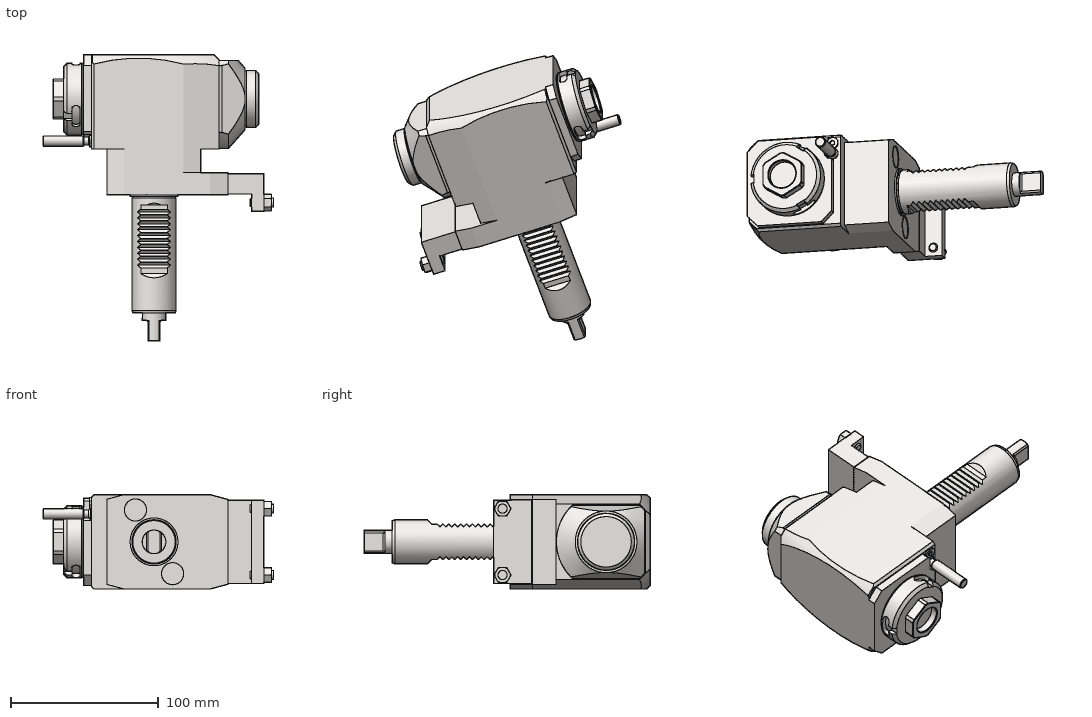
import math

import cadquery as cq


HALF_HEIGHT = 32.0
TAPER_ANGLE = 15.0
TAPER_SLOPE = math.tan(math.radians(TAPER_ANGLE))
HEAD_BLOCK_LEFT = -42.5
HEAD_BLOCK_RIGHT = 44.1
HEAD_BLOCK_FRONT = 31.0
HEAD_BLOCK_BACK = HEAD_BLOCK_FRONT + 2 * HALF_HEIGHT
BLOCK_EDGE_CHAMFER = 1.8
BACK_CORNER_CHAMFER = 3.3
NECK_LEFT = -32.0
NECK_RIGHT = 31.7
LEFT_TAPER_START = -20.2
RIGHT_TAPER_START = 20.0
ARM_THICKNESS = 15.1
ARM_RIGHT = 50.0
ARM_TAPER_START = 38.2
SPINDLE_Y = 65.0
BARREL_X = -10.4
BARREL_RADIUS = 42.3
BARREL_ARC_RADIUS = 185.0
BARREL_END_CHAMFER = 0.7
PLUG_RADIUS = 7.5
PLUG_RECESS = 0.5
PLUG_CENTRES = [(-12.6, 21.6), (12.6, -21.6)]

BRACKET_HALF_HEIGHT = 28.3
BRACKET_FRONT = 0.5
BRACKET_BACK = 14.4
BRACKET_RIGHT = 74.5
LUG_LEFT = 66.2
LUG_FRONT = -11.2
SCREW_Y = -5.2
SCREW_Z = 22.5
SCREW_RADIUS = 3.1
SCREW_POINT_RADIUS = 2.4
SCREW_LEFT = 65.1
SCREW_RIGHT = 81.05
BOLT_NUT_FLATS = 10.0
BOLT_NUT_RIGHT = 79.7
BOLT_NUT_CHAMFER = 0.5

REAR_RADIUS = 33.7
REAR_CONE_START = 50.4
REAR_CONE_END = 61.7
REAR_CONE_END_RADIUS = 20.9
REAR_BACK_Y = 91.1
REAR_GAP_RIGHT = 46.0
REAR_GAP_DEPTH = 0.3
CAP_NECK_RADIUS = 19.0
CAP_START = 62.7
CAP_RADIUS = 19.4
CAP_RIGHT = 71.1
CAP_CHAMFER = 2.3

COVER_LEFT = -47.8
COVER_HALF = 29.6
COVER_CORNER = 7.2
NUT_LEFT = -61.2
NUT_RIGHT = -48.3
NUT_RADIUS = 24.5
NUT_CHAMFER = 2.2
NUT_NECK_RADIUS = 23.6
NUT_BACK_CHAMFER = 0.7
NOTCH_WIDTH = 5.6
NOTCH_FLOOR_RADIUS = 21.6
NOTCH_OVERLAP = 0.5
NOTCH_ANGLES = [0, 120, 240]
POCKET_X = -52.9
POCKET_WIDTH = 5.5
POCKET_LENGTH = 16.6
HEX_LEFT = -68.4
HEX_FLATS = 27.2
HEX_CORNER_RADIUS = 15.0
HEX_CHAMFER = 0.4
BORE_RADIUS = 9.5
BORE_DEPTH = 5.0
BORE_CHAMFER = 0.5

PIN_Y = 36.4
PIN_Z = 18.9
PIN_LEFT = -75.33
PIN_RIGHT = -47.6
PIN_RADIUS = 3.55
PIN_CHAMFER = 0.5
PIN_NECK_RADIUS = 2.7
PIN_NECK_RIGHT = -44.4
PIN_FOOT_LEFT = -43.0
PIN_FOOT_RADIUS = 3.8
PIN_RELIEF_RADIUS = 4.6
CLAMP_Z = 26.2
CLAMP_RADIUS = 3.9
CLAMP_HEIGHT = 1.2
CLAMP_SOCKET_FLATS = 3.0

COLLAR_RADIUS = 16.2
COLLAR_LENGTH = 1.1
SHANK_RADIUS = 15.0
SHANK_LENGTH = 80.0
SHANK_RELIEF_RADIUS = 14.7
SHANK_RELIEF_LENGTH = 2.2
SHANK_END_RADIUS = 14.4
SHANK_END_TAPER = 1.8
FLAT_HEIGHT = 12.0
FLAT_START = 6.9
FLAT_END = 53.2
FLAT_LIP_HEIGHT = 14.3
FLAT_LIP_START = 5.6
FLAT_RAMP_ANGLE = 45.0
GROOVE_COUNT = 10
GROOVE_PITCH = 4.0
GROOVE_FIRST = 11.6
GROOVE_DEPTH = 1.85

TANG_RADIUS = 8.0
TANG_SHOULDER = 85.0
TANG_END = 99.0
TANG_HALF_THICKNESS = 4.1
TANG_ROOT_HALF_THICKNESS = 5.0
TANG_ROOT_LENGTH = 1.2
TANG_FLAT_HALF_WIDTH = 6.05
TANG_EDGE_HALF_THICKNESS = 3.27
TANG_EDGE_HALF_WIDTH = 7.3


def rod(x_start, x_end, y, z, radius):
    """Cylinder along X."""
    return cq.Workplane("YZ", origin=(x_start, y, z)).circle(radius).extrude(x_end - x_start)


def block(x_start, x_end, y_start, y_end, z_start, z_end):
    """Box between two opposite corners."""
    size = (x_end - x_start, y_end - y_start, z_end - z_start)
    return cq.Workplane("XY", origin=(x_start, y_start, z_start)).box(*size, centered=False)


def prism_along_y(points, y_start, y_end):
    """Solid with an (X, Z) outline, running from y_start to y_end."""
    return cq.Workplane("XZ", origin=(0, y_start, 0)).polyline(points).close().extrude(y_start - y_end)


def turned_along_x(points, y, z=0.0):
    """Solid of revolution about an X-parallel axis from (x, radius) points."""
    return (
        cq.Workplane("XY", origin=(0, y, z))
        .polyline(points)
        .close()
        .revolve(360, (0, 0), (1, 0))
    )


def hex_points(flats, turn=0.0):
    """Corners of a hexagon; turn is the angle of the first corner in degrees."""
    corner = flats / math.sqrt(3)
    angles = [math.radians(turn + 60 * i) for i in range(6)]
    return [(corner * math.cos(a), corner * math.sin(a)) for a in angles]


def tapered_height(x, taper_start):
    """Half height at x of a wall that falls at the taper angle beyond taper_start."""
    return HALF_HEIGHT - abs(x - taper_start) * TAPER_SLOPE


def housing_slab(left, left_start, left_height, right, right_start, y_start, y_end):
    """Slab symmetric about Z = 0 with sloped left and right ends."""
    right_height = tapered_height(right, right_start)
    upper = [
        (left, left_height),
        (left_start, HALF_HEIGHT),
        (right_start, HALF_HEIGHT),
        (right, right_height),
    ]
    lower = [(x, -z) for x, z in reversed(upper)]
    return prism_along_y(upper + lower, y_start, y_end)


def barrel_radius(x):
    """Radius of the barrel at x, following one large arc."""
    rise = math.sqrt(BARREL_ARC_RADIUS**2 - (x - BARREL_X) ** 2)
    return BARREL_RADIUS - BARREL_ARC_RADIUS + rise


def barrel():
    """Barrel about the spindle axis that trims the back edges of the head block."""
    arc_left = HEAD_BLOCK_LEFT + BARREL_END_CHAMFER
    left_radius = barrel_radius(arc_left)
    return (
        cq.Workplane("XY", origin=(0, SPINDLE_Y, 0))
        .moveTo(HEAD_BLOCK_LEFT, 0)
        .lineTo(HEAD_BLOCK_LEFT, left_radius - BARREL_END_CHAMFER)
        .lineTo(arc_left, left_radius)
        .threePointArc((BARREL_X, BARREL_RADIUS), (HEAD_BLOCK_RIGHT, barrel_radius(HEAD_BLOCK_RIGHT)))
        .lineTo(HEAD_BLOCK_RIGHT, 0)
        .close()
        .revolve(360, (0, 0), (1, 0))
    )


def head_block():
    slab = housing_slab(
        HEAD_BLOCK_LEFT,
        HEAD_BLOCK_LEFT + BLOCK_EDGE_CHAMFER,
        HALF_HEIGHT - BLOCK_EDGE_CHAMFER,
        HEAD_BLOCK_RIGHT,
        RIGHT_TAPER_START,
        HEAD_BLOCK_FRONT,
        HEAD_BLOCK_BACK,
    )
    slab = slab.edges("|Z and >X and >Y").chamfer(BACK_CORNER_CHAMFER)
    back_half = block(
        HEAD_BLOCK_LEFT, HEAD_BLOCK_RIGHT, SPINDLE_Y, HEAD_BLOCK_BACK, -HALF_HEIGHT, HALF_HEIGHT
    )
    return slab.cut(back_half.cut(barrel()))


def neck_and_arm():
    left_height = tapered_height(NECK_LEFT, LEFT_TAPER_START)
    neck = housing_slab(
        NECK_LEFT,
        LEFT_TAPER_START,
        left_height,
        NECK_RIGHT,
        RIGHT_TAPER_START,
        ARM_THICKNESS,
        HEAD_BLOCK_FRONT,
    )
    arm = housing_slab(
        NECK_LEFT, LEFT_TAPER_START, left_height, ARM_RIGHT, ARM_TAPER_START, 0, ARM_THICKNESS
    )
    plugs = cq.Workplane("XZ").pushPoints(PLUG_CENTRES).circle(PLUG_RADIUS).extrude(-PLUG_RECESS)
    return neck.union(arm).cut(plugs)


def bracket():
    height = BRACKET_HALF_HEIGHT
    body = block(ARM_RIGHT, BRACKET_RIGHT, BRACKET_FRONT, BRACKET_BACK, -height, height)
    lug = block(LUG_LEFT, BRACKET_RIGHT, LUG_FRONT, BRACKET_BACK, -height, height)
    body = body.union(lug)
    for z in (-SCREW_Z, SCREW_Z):
        body = body.union(clamp_bolt(z))
    return body


def clamp_bolt(z):
    """Screw through the lug with a hexagon nut on its right side."""
    screw = turned_along_x(
        [
            (SCREW_LEFT, 0),
            (SCREW_LEFT, SCREW_POINT_RADIUS),
            (LUG_LEFT, SCREW_RADIUS),
            (SCREW_RIGHT, SCREW_RADIUS),
            (SCREW_RIGHT, 0),
        ],
        SCREW_Y,
        z,
    )
    nut = (
        cq.Workplane("YZ", origin=(BRACKET_RIGHT, SCREW_Y, z))
        .polyline(hex_points(BOLT_NUT_FLATS))
        .close()
        .extrude(BOLT_NUT_RIGHT - BRACKET_RIGHT)
    )
    corner = BOLT_NUT_FLATS / math.sqrt(3)
    envelope = rod(BRACKET_RIGHT, BOLT_NUT_RIGHT, SCREW_Y, z, corner)
    envelope = envelope.faces(">X").chamfer(BOLT_NUT_CHAMFER)
    return screw.union(nut.intersect(envelope))


def spindle_rear():
    """Conical rear end with sloped flats, and the round cap behind it."""
    cone = turned_along_x(
        [
            (HEAD_BLOCK_RIGHT, 0),
            (HEAD_BLOCK_RIGHT, REAR_RADIUS),
            (REAR_CONE_START, REAR_RADIUS),
            (REAR_CONE_END, REAR_CONE_END_RADIUS),
            (REAR_CONE_END, 0),
        ],
        SPINDLE_Y,
    )
    flats = housing_slab(
        NECK_LEFT,
        LEFT_TAPER_START,
        tapered_height(NECK_LEFT, LEFT_TAPER_START),
        REAR_CONE_END,
        RIGHT_TAPER_START,
        SPINDLE_Y - REAR_RADIUS,
        REAR_BACK_Y,
    )
    cone = cone.intersect(flats)
    inner = flats.translate((-REAR_GAP_DEPTH / TAPER_SLOPE, 0, 0))
    gap = block(
        HEAD_BLOCK_RIGHT,
        REAR_GAP_RIGHT,
        SPINDLE_Y - REAR_RADIUS,
        REAR_BACK_Y,
        -HALF_HEIGHT,
        HALF_HEIGHT,
    ).cut(inner)
    cap = turned_along_x(
        [
            (REAR_CONE_END, 0),
            (REAR_CONE_END, CAP_NECK_RADIUS),
            (CAP_START, CAP_NECK_RADIUS),
            (CAP_START, CAP_RADIUS),
            (CAP_RIGHT - CAP_CHAMFER, CAP_RADIUS),
            (CAP_RIGHT, CAP_RADIUS - CAP_CHAMFER),
            (CAP_RIGHT, 0),
        ],
        SPINDLE_Y,
    )
    return cone.cut(gap).union(cap)


def cover_plate():
    """Square cover with bevelled corners and a relief around the pin."""
    plate = block(
        COVER_LEFT,
        HEAD_BLOCK_LEFT,
        HEAD_BLOCK_BACK - 2 * COVER_HALF,
        HEAD_BLOCK_BACK,
        -COVER_HALF,
        COVER_HALF,
    )
    plate = plate.edges("|X").chamfer(COVER_CORNER)
    relief = rod(COVER_LEFT, HEAD_BLOCK_LEFT, PIN_Y, PIN_Z, PIN_RELIEF_RADIUS)
    slot = block(
        COVER_LEFT,
        HEAD_BLOCK_LEFT,
        PIN_Y - PIN_RELIEF_RADIUS,
        PIN_Y + PIN_RELIEF_RADIUS,
        PIN_Z,
        HALF_HEIGHT,
    )
    return plate.cut(relief).cut(slot)


def clamping_nut():
    """Round nut with three axial notches, each opening into a slot around the rim."""
    nut = turned_along_x(
        [
            (NUT_LEFT, 0),
            (NUT_LEFT, NUT_RADIUS - NUT_CHAMFER),
            (NUT_LEFT + NUT_CHAMFER, NUT_RADIUS),
            (NUT_RIGHT - NUT_BACK_CHAMFER, NUT_RADIUS),
            (NUT_RIGHT, NUT_RADIUS - NUT_BACK_CHAMFER),
            (NUT_RIGHT, NUT_NECK_RADIUS),
            (COVER_LEFT, NUT_NECK_RADIUS),
            (COVER_LEFT, 0),
        ],
        SPINDLE_Y,
    )
    notch = block(
        NUT_LEFT,
        POCKET_X - POCKET_WIDTH / 2 + NOTCH_OVERLAP,
        SPINDLE_Y + NOTCH_FLOOR_RADIUS,
        SPINDLE_Y + NUT_RADIUS,
        -NOTCH_WIDTH / 2,
        NOTCH_WIDTH / 2,
    )
    pocket = (
        cq.Workplane("XZ", origin=(POCKET_X, SPINDLE_Y, 0))
        .slot2D(POCKET_LENGTH, POCKET_WIDTH, 90)
        .extrude(-NUT_RADIUS)
        .cut(rod(NUT_LEFT, NUT_RIGHT, SPINDLE_Y, 0, NOTCH_FLOOR_RADIUS))
    )
    cutter = notch.union(pocket)
    for angle in NOTCH_ANGLES:
        nut = nut.cut(cutter.rotate((0, SPINDLE_Y, 0), (1, SPINDLE_Y, 0), angle))
    return nut


def hex_nose():
    nose = (
        cq.Workplane("YZ", origin=(HEX_LEFT, SPINDLE_Y, 0))
        .polyline(hex_points(HEX_FLATS, 90))
        .close()
        .extrude(NUT_LEFT - HEX_LEFT)
    )
    nose = nose.intersect(rod(HEX_LEFT, NUT_LEFT, SPINDLE_Y, 0, HEX_CORNER_RADIUS))
    return nose.faces("<X").chamfer(HEX_CHAMFER)


def nose_bore():
    return turned_along_x(
        [
            (HEX_LEFT, 0),
            (HEX_LEFT, BORE_RADIUS + BORE_CHAMFER),
            (HEX_LEFT + BORE_CHAMFER, BORE_RADIUS),
            (HEX_LEFT + BORE_DEPTH, BORE_RADIUS),
            (HEX_LEFT + BORE_DEPTH, 0),
        ],
        SPINDLE_Y,
    )


def locating_pin():
    return turned_along_x(
        [
            (PIN_LEFT, 0),
            (PIN_LEFT, PIN_RADIUS - PIN_CHAMFER),
            (PIN_LEFT + PIN_CHAMFER, PIN_RADIUS),
            (PIN_RIGHT - PIN_CHAMFER, PIN_RADIUS),
            (PIN_RIGHT, PIN_RADIUS - PIN_CHAMFER),
            (PIN_RIGHT, PIN_NECK_RADIUS),
            (PIN_NECK_RIGHT, PIN_NECK_RADIUS),
            (PIN_FOOT_LEFT, PIN_FOOT_RADIUS),
            (HEAD_BLOCK_LEFT, PIN_FOOT_RADIUS),
            (HEAD_BLOCK_LEFT, 0),
        ],
        PIN_Y,
        PIN_Z,
    )


def clamp_screw():
    """Flat screw head with a hexagon socket."""
    head_left = HEAD_BLOCK_LEFT - CLAMP_HEIGHT
    socket = (
        cq.Workplane("YZ", origin=(head_left, PIN_Y, CLAMP_Z))
        .polyline(hex_points(CLAMP_SOCKET_FLATS, 90))
        .close()
        .extrude(CLAMP_HEIGHT)
    )
    return rod(head_left, HEAD_BLOCK_LEFT, PIN_Y, CLAMP_Z, CLAMP_RADIUS).cut(socket)


def shank_blank():
    points = [
        (0, 0),
        (COLLAR_RADIUS, 0),
        (COLLAR_RADIUS, -COLLAR_LENGTH),
        (SHANK_RELIEF_RADIUS, -COLLAR_LENGTH),
        (SHANK_RELIEF_RADIUS, -SHANK_RELIEF_LENGTH),
        (SHANK_RADIUS, -SHANK_RELIEF_LENGTH),
        (SHANK_RADIUS, SHANK_END_TAPER - SHANK_LENGTH),
        (SHANK_END_RADIUS, -SHANK_LENGTH),
        (0, -SHANK_LENGTH),
    ]
    return cq.Workplane("XY").polyline(points).close().revolve(360, (0, 0), (0, 1))


def serration_cutter():
    """Cutter for the upper serrated flat: a (Y, Z) outline run across the shank."""
    ramp_run = (SHANK_RADIUS - FLAT_HEIGHT) / math.tan(math.radians(FLAT_RAMP_ANGLE))
    points = [
        (-FLAT_LIP_START, SHANK_RADIUS),
        (-FLAT_START, FLAT_LIP_HEIGHT),
        (-FLAT_START, FLAT_HEIGHT),
    ]
    for i in range(GROOVE_COUNT):
        y = -GROOVE_FIRST - i * GROOVE_PITCH
        points += [
            (y + GROOVE_DEPTH, FLAT_HEIGHT),
            (y, FLAT_HEIGHT - GROOVE_DEPTH),
            (y - GROOVE_DEPTH, FLAT_HEIGHT),
        ]
    points += [(-FLAT_END, FLAT_HEIGHT), (-FLAT_END - ramp_run, SHANK_RADIUS)]
    return cq.Workplane("YZ").polyline(points).close().extrude(SHANK_RADIUS, both=True)


def shank():
    upper_cut = serration_cutter()
    return shank_blank().cut(upper_cut).cut(upper_cut.mirror("XY"))


def drive_tang():
    """Round stub that ends in a flat tang with bevelled edges."""
    stub = cq.Workplane("XZ").circle(TANG_RADIUS).extrude(TANG_END)
    outline = [
        (-TANG_RADIUS, -SHANK_LENGTH),
        (TANG_RADIUS, -SHANK_LENGTH),
        (TANG_RADIUS, -TANG_SHOULDER),
        (TANG_ROOT_HALF_THICKNESS, -TANG_SHOULDER),
        (TANG_HALF_THICKNESS, -TANG_SHOULDER - TANG_ROOT_LENGTH),
        (TANG_HALF_THICKNESS, -TANG_END),
        (-TANG_HALF_THICKNESS, -TANG_END),
        (-TANG_HALF_THICKNESS, -TANG_SHOULDER - TANG_ROOT_LENGTH),
        (-TANG_ROOT_HALF_THICKNESS, -TANG_SHOULDER),
        (-TANG_RADIUS, -TANG_SHOULDER),
    ]
    sides = cq.Workplane("XY").polyline(outline).close().extrude(TANG_RADIUS, both=True)
    tang = stub.intersect(sides)
    for side_x in (-1, 1):
        for side_z in (-1, 1):
            bevel = [
                (side_x * TANG_HALF_THICKNESS, side_z * TANG_FLAT_HALF_WIDTH),
                (side_x * TANG_EDGE_HALF_THICKNESS, side_z * TANG_EDGE_HALF_WIDTH),
                (side_x * TANG_RADIUS, side_z * TANG_RADIUS),
            ]
            tang = tang.cut(prism_along_y(bevel, -TANG_END, -TANG_SHOULDER))
    return tang


result = head_block()
for feature in (
    neck_and_arm(),
    bracket(),
    spindle_rear(),
    cover_plate(),
    clamping_nut(),
    hex_nose(),
    locating_pin(),
    clamp_screw(),
    shank(),
    drive_tang(),
):
    result = result.union(feature)
result = result.cut(nose_bore())